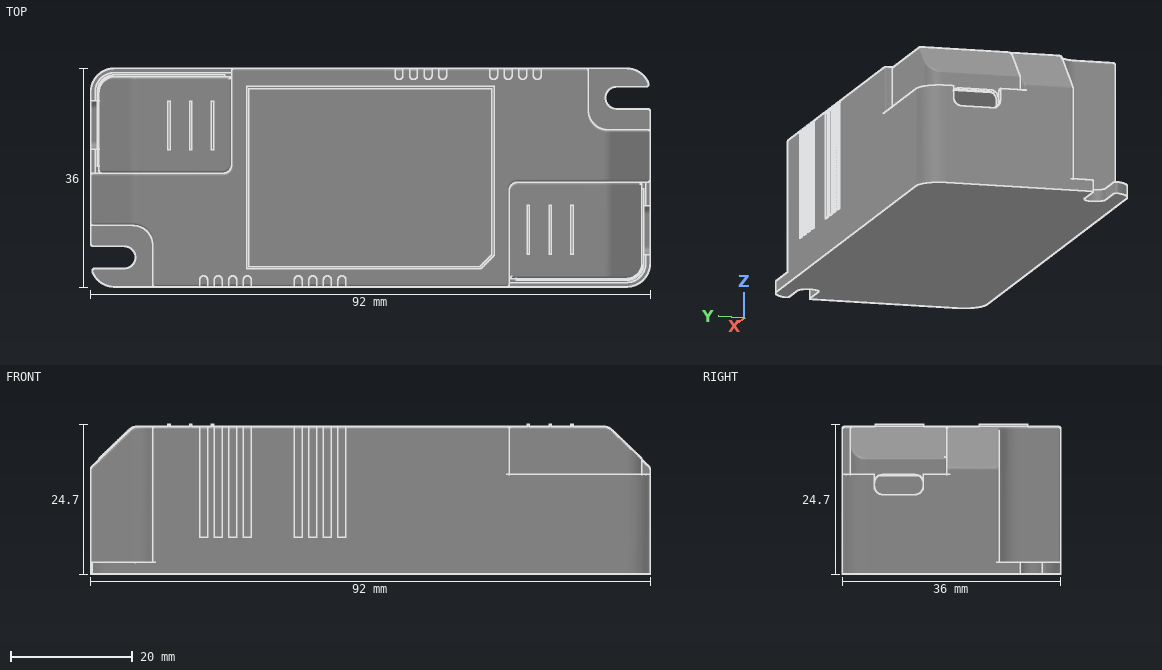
import cadquery as cq
LENGTH = 92.0
WIDTH = 36.0
HEIGHT = 24.3
CORNER_RADIUS = 4.0

SLOPE_LENGTH = 7.1
SLOPE_DROP = 6.8
SLOPE_TOP_RADIUS = 1.9
SLOPE_FOOT_RADIUS = 0.8
EDGE_RADIUS = 0.5

FOOT_LENGTH = 10.2
FOOT_WIDTH = 10.1
FOOT_HEIGHT = 1.9
FOOT_INNER_RADIUS = 3.2
FOOT_SLOT_WIDTH = 3.6
FOOT_SLOT_LENGTH = 7.4
FOOT_SLOT_OFFSET = 4.9
SLOT_MOUTH_RADIUS = 0.5

RECESS_LENGTH = 23.2
RECESS_OFFSET = 0.7
RECESS_CORNER_RADIUS = 1.4
LIP_HEIGHT = 16.4
LIP_WIDTH = 0.7
SEAT_DEPTH = 0.2
SEAT_HEIGHT = LIP_HEIGHT - SEAT_DEPTH
CHAMBER_WALL = 1.1

COVER_INSET = 1.4
COVER_SLOPE_SHIFT = 0.2
SKIRT_THICKNESS = 1.2
RIB_COUNT = 3
RIB_PITCH = 3.6
RIB_FIRST = 12.9
RIB_WIDTH = 0.4
RIB_LENGTH = 8.0
RIB_HEIGHT = 0.4
RIB_CENTER_Y = 8.6

OPENING_WIDTH = 8.0
OPENING_HEIGHT = 3.3
OPENING_RADIUS = 1.4
OPENING_CENTER_Y = 8.65
OPENING_SILL = LIP_HEIGHT - OPENING_HEIGHT

VENT_GROUP_STARTS = (18.6, 34.1)
VENTS_PER_GROUP = 4
VENT_PITCH = 2.4
VENT_WIDTH = 1.3
VENT_REACH = 1.8
VENT_DEPTH = 0.1
VENT_BOTTOM = 6.1

LABEL_LEFT = 25.7
LABEL_LENGTH = 40.7
LABEL_WIDTH = 30.0
LABEL_CORNER = 2.2
GROOVE_WIDTH = 0.4
GROOVE_DEPTH = 0.3

X_END = LENGTH / 2
Y_SIDE = WIDTH / 2
RECESS_END_X = -X_END + RECESS_LENGTH


def both_ends(shape):
    """The shape and its copy turned half a turn about the Z axis."""
    return [shape, shape.rotate((0, 0, 0), (0, 0, 1), 180)]


def sloped_block(slope_length, slope_drop):
    """Full-size block with both ends sloped and the slopes blended."""
    slope_foot = HEIGHT - slope_drop
    outline = [
        (-X_END, 0),
        (X_END, 0),
        (X_END, slope_foot),
        (X_END - slope_length, HEIGHT),
        (-X_END + slope_length, HEIGHT),
        (-X_END, slope_foot),
    ]
    block = cq.Workplane("XZ").polyline(outline).close().extrude(Y_SIDE, both=True)
    block = block.faces(">Z").edges("|Y").fillet(SLOPE_TOP_RADIUS)
    return block.faces("<X or >X").edges("|Y and >Z").fillet(SLOPE_FOOT_RADIUS)


def foot_space():
    """Space above the foot at the -X, -Y corner."""
    space = cq.Workplane("XY", origin=(-X_END, -Y_SIDE, FOOT_HEIGHT))
    space = space.rect(2 * FOOT_LENGTH, 2 * FOOT_WIDTH).extrude(HEIGHT)
    return space.edges("|Z and >X and >Y").fillet(FOOT_INNER_RADIUS)


def foot_slot():
    """Open-ended screw slot of the foot at the -X, -Y corner."""
    slot = cq.Workplane("XY", origin=(-X_END, -Y_SIDE + FOOT_SLOT_OFFSET, 0))
    return slot.slot2D(2 * FOOT_SLOT_LENGTH, FOOT_SLOT_WIDTH).extrude(FOOT_HEIGHT)


def terminal_space(inset, bottom, top, margin=0.0):
    """Upright block at the -X, +Y corner, set in from the outer faces by inset.

    Its two inner sides lie on the recess walls, or a margin short of them.
    """
    low = (-X_END + inset, RECESS_OFFSET + margin)
    high = (RECESS_END_X - margin, Y_SIDE - inset)
    block = cq.Workplane("XY").box(high[0] - low[0], high[1] - low[1], top - bottom, centered=False)
    block = block.translate((low[0], low[1], bottom))
    block = block.edges("|Z and >X and <Y").fillet(RECESS_CORNER_RADIUS)
    return block.edges("|Z and <X and >Y").fillet(CORNER_RADIUS - inset)


def recess():
    """Space above the lip at the -X, +Y corner, open to both outer faces."""
    size = (RECESS_LENGTH, Y_SIDE - RECESS_OFFSET, HEIGHT - LIP_HEIGHT)
    space = cq.Workplane("XY").box(*size, centered=False)
    space = space.translate((-X_END, RECESS_OFFSET, LIP_HEIGHT))
    return space.edges("|Z and >X and <Y").fillet(RECESS_CORNER_RADIUS)


def cable_opening():
    """U-shaped opening through the end wall into the chamber at the -X, +Y corner."""
    opening = cq.Workplane("XY").box(CHAMBER_WALL, OPENING_WIDTH, OPENING_HEIGHT, (False, True, False))
    opening = opening.edges("|X and <Z").fillet(OPENING_RADIUS)
    return opening.translate((-X_END, OPENING_CENTER_Y, OPENING_SILL))


def side_vents():
    """Shallow grooves that run up the -Y side and end in round tips on the top."""
    centers = [
        (start + i * VENT_PITCH, 0)
        for start in VENT_GROUP_STARTS
        for i in range(VENTS_PER_GROUP)
    ]
    vents = cq.Workplane("XY", origin=(-X_END, -Y_SIDE, VENT_BOTTOM)).pushPoints(centers)
    vents = vents.slot2D(2 * VENT_REACH, VENT_WIDTH, 90).extrude(HEIGHT - VENT_BOTTOM)
    core = cq.Workplane("XY").box(LENGTH, WIDTH - 2 * VENT_DEPTH, HEIGHT - VENT_DEPTH, (True, True, False))
    return vents.cut(core.edges(">Z and |X").fillet(EDGE_RADIUS))


def label_outline():
    """Outer outline of the label frame on the groove floor, with one corner cut off."""
    left = -X_END + LABEL_LEFT
    right = left + LABEL_LENGTH
    half_width = LABEL_WIDTH / 2
    outline = [
        (left, -half_width),
        (right - LABEL_CORNER, -half_width),
        (right, -half_width + LABEL_CORNER),
        (right, half_width),
        (left, half_width),
    ]
    floor = cq.Workplane("XY", origin=(0, 0, HEIGHT - GROOVE_DEPTH))
    return floor.polyline(outline).close()


def label_groove():
    """Groove framing the label area."""
    island = label_outline().offset2D(-GROOVE_WIDTH).extrude(GROOVE_DEPTH)
    return label_outline().extrude(GROOVE_DEPTH).cut(island)


def upright_edge_at(x, y):
    """Selector for the upright edges that stand at the given place and at its half-turn image."""
    reach = EDGE_RADIUS / 2
    boxes = [
        cq.selectors.BoxSelector(
            (side * x - reach, side * y - reach, 0), (side * x + reach, side * y + reach, HEIGHT)
        )
        for side in (-1, 1)
    ]
    return boxes[0] + boxes[1]


def rounded_shell():
    """Outer shape of the housing above the feet, with its edges rounded."""
    body = sloped_block(SLOPE_LENGTH, SLOPE_DROP)
    for space in both_ends(foot_space()) + both_ends(recess()):
        body = body.cut(space)
    for x, y in ((-X_END + FOOT_LENGTH, -Y_SIDE), (RECESS_END_X, Y_SIDE)):
        body = body.edges("|Z").edges(upright_edge_at(x, y)).fillet(EDGE_RADIUS)
    return body.faces(">Z").edges("not |Y").fillet(EDGE_RADIUS)


def make_housing():
    """Housing with feet, cover seats, terminal chambers, vents and label frame."""
    body = rounded_shell()
    plan = cq.Workplane("XY").rect(LENGTH, WIDTH).extrude(HEIGHT).edges("|Z").fillet(CORNER_RADIUS)
    body = body.intersect(plan)
    cutters = [
        terminal_space(LIP_WIDTH, SEAT_HEIGHT, LIP_HEIGHT),
        terminal_space(CHAMBER_WALL, FOOT_HEIGHT, SEAT_HEIGHT, CHAMBER_WALL),
        cable_opening(),
        foot_slot(),
        side_vents(),
    ]
    for cutter in cutters:
        for tool in both_ends(cutter):
            body = body.cut(tool)
    for mouth_side in (-1, 1):
        mouth_y = -Y_SIDE + FOOT_SLOT_OFFSET + mouth_side * FOOT_SLOT_WIDTH / 2
        body = body.edges("|Z").edges(upright_edge_at(-X_END, mouth_y)).fillet(SLOT_MOUTH_RADIUS)
    return body.cut(label_groove())


def cover_skirt():
    """Plate that hangs into the chamber from the front of the cover."""
    skirt = terminal_space(COVER_INSET, OPENING_SILL, SEAT_HEIGHT, CHAMBER_WALL)
    slab = cq.Workplane("XY").box(SKIRT_THICKNESS, WIDTH, HEIGHT, (False, True, False))
    return skirt.intersect(slab.translate((-X_END + COVER_INSET, 0, 0)))


def skirt_notch():
    """Round-topped notch through the skirt, in line with the cable opening."""
    notch = cq.Workplane("XY").box(SKIRT_THICKNESS, OPENING_WIDTH, OPENING_HEIGHT, (False, True, False))
    notch = notch.edges("|X and >Z").fillet(OPENING_RADIUS)
    return notch.translate((-X_END + COVER_INSET, OPENING_CENTER_Y, OPENING_SILL))


def make_cover():
    """Cover at the -X, +Y corner, standing on the seat just behind the lip."""
    block = sloped_block(SLOPE_LENGTH - COVER_SLOPE_SHIFT, SLOPE_DROP - COVER_SLOPE_SHIFT)
    cover = block.intersect(terminal_space(COVER_INSET, SEAT_HEIGHT, HEIGHT))
    cover = cover.edges("|Z and <X and <Y").fillet(EDGE_RADIUS)
    cover = cover.faces(">Z").edges("not |Y").fillet(EDGE_RADIUS)
    cover = cover.union(cover_skirt()).cut(skirt_notch())
    for i in range(RIB_COUNT):
        rib = cq.Workplane("XY").box(RIB_WIDTH, RIB_LENGTH, RIB_HEIGHT, (True, True, False))
        cover = cover.union(rib.translate((-X_END + RIB_FIRST + i * RIB_PITCH, RIB_CENTER_Y, HEIGHT)))
    return cover


housing = make_housing()
covers = [make_cover().rotate((0, 0, 0), (0, 0, 1), turn) for turn in (0, 180)]
result = cq.Compound.makeCompound([housing.val(), *[cover.val() for cover in covers]])